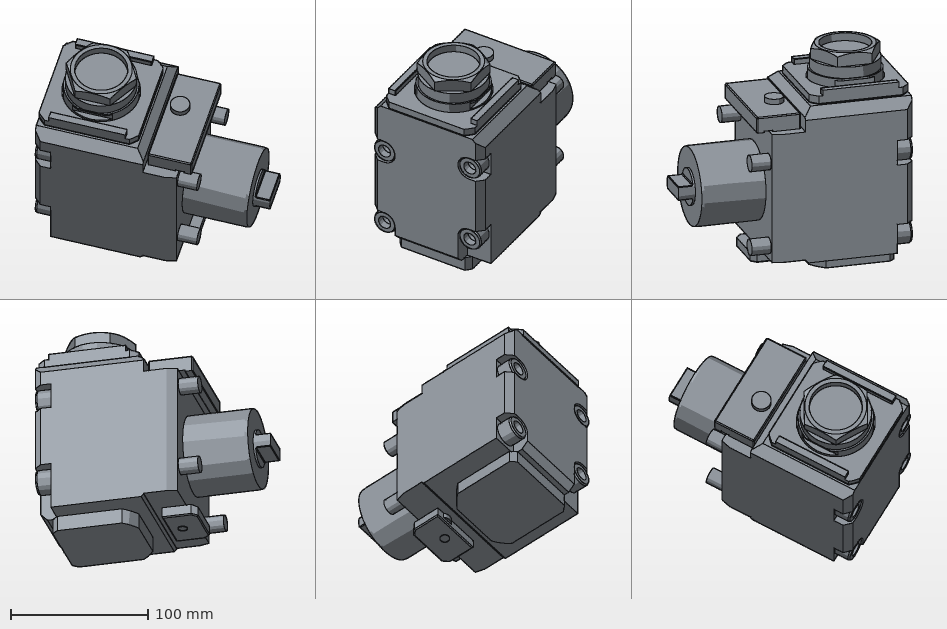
import cadquery as cq
import math


BLOCK_LENGTH = 83.1
BLOCK_WIDTH = 94.0
BLOCK_HEIGHT = 118.7
TOP_BEVEL_SIDE = 7.8
TOP_BEVEL_FRONT = 6.1
REAR_BEVEL = 5.3
FRONT_BOTTOM_BEVEL = 1.9

PLATE_END = 108.1
PLATE_BOTTOM = 2.4
PLATE_TOP = 101.8
PLATE_TAPER_LENGTH = 7.6
PLATE_TAPER_DEPTH = 2.0

SPINDLE_X = 38.0
BORE_RADIUS = 28.7
NECK_RADIUS = 27.5
COLLAR_RADIUS = 26.2
NUT_ACROSS_FLATS = 46.0
NECK_LEDGE_ACROSS_FLATS = 51.0
NUT_CROWN_RADIUS = 22.6
NUT_CROWN_ANGLE = 30
NUT_RECESS_RADIUS = 19.4
NUT_RECESS_DEPTH = 6.0
NECK_LEDGE_BOTTOM = 130.2
COLLAR_BOTTOM = 131.8
NUT_BOTTOM = 140.5
NUT_TOP = 150.5

SEAT_INSET = 0.5
SEAT_TOP = 119.2
FLANGE_LENGTH = 75.8
FLANGE_WIDTH = 75.6
FLANGE_TOP = 125.1
FLANGE_CORNER_RADIUS = 49.6
RAIL_LENGTH = 58.1
RAIL_WIDTH = 5.8
RAIL_TOP = 129.4
RAIL_BEVEL = 0.5

SPIGOT_START = 9.4
SPIGOT_END = 72.2
SPIGOT_WIDTH = 62.0
SPIGOT_DEPTH = 11.5
SPIGOT_CORNER_RADIUS = 39.5

INPUT_Z = 51.5
INPUT_RADIUS = 30.0
INPUT_END = 157.0
INPUT_RIM_LENGTH = 2.2
INPUT_RIM_DEPTH = 0.3
TANG_DISC_RADIUS = 14.0
TANG_DISC_END = 158.6
TANG_END = 170.0
TANG_THICKNESS = 10.5
TANG_BEVEL = 0.5
TANG_ROOT = 0.7

SCREW_Y = 36.4
SCREW_ROWS = {-1: (26.0, 91.0), 1: (13.0, 78.0)}
POCKET_RADIUS = 9.5
POCKET_DEPTH = 13.1
HEAD_RADIUS = 9.2
HEAD_START = 0.8
HEAD_BEVEL_LENGTH = 1.4
HEAD_BEVEL_DEPTH = 0.7
SOCKET_RADIUS = 5.1
SOCKET_DEPTH = 6.0
SOCKET_TIP_DEPTH = 2.9
SHANK_RADIUS = 6.1
SHANK_END = 122.7

BAR_START = 84.5
BAR_END = 118.0
BAR_WIDTH = 78.0
BAR_TOP = 113.9
BAR_BEVEL = 0.8
BAR_GROOVE_START = 105.7
BAR_GROOVE_END = 112.2
BAR_GROOVE_DEPTH = 1.0
BAR_LIP_BEVEL = 0.5
BUTTON_X = 95.4
BUTTON_Y = 9.0
BUTTON_RADIUS = 7.1
BUTTON_TOP = 118.0
BUTTON_PIN_BOTTOM = -2.0

STOP_START = 90.0
STOP_END = 116.1
STOP_WIDTH = 40.8
STOP_BOTTOM = -5.8
STOP_CORNER = 4.0
STOP_BEVEL = 0.8
PAD_X = 100.1
PAD_RADIUS = 3.5
PAD_BOTTOM = -6.3


def box(x_start, x_end, width, z_start, z_end):
    """Box centred on the XZ plane."""
    return (
        cq.Workplane("XY")
        .box(x_end - x_start, width, z_end - z_start, centered=(False, True, False))
        .translate((x_start, 0, z_start))
    )


def rod_x(x_start, x_end, y, z, radius):
    """Cylinder along X."""
    return cq.Workplane("YZ", origin=(x_start, y, z)).circle(radius).extrude(x_end - x_start)


def rod_z(x, y, z_start, z_end, radius):
    """Cylinder along Z."""
    return cq.Workplane("XY", origin=(x, y, z_start)).circle(radius).extrude(z_end - z_start)


def bevel_wedge(plane, origin, points, length):
    """Triangular prism that removes one edge, centred on its sketch plane."""
    return cq.Workplane(plane, origin=origin).polyline(points).close().extrude(length / 2, both=True)


def make_block():
    block = box(0, BLOCK_LENGTH, BLOCK_WIDTH, 0, BLOCK_HEIGHT)
    block = block.faces("<X").edges("|Z").chamfer(REAR_BEVEL)
    block = block.faces("<X").edges("<Z").chamfer(REAR_BEVEL)
    block = block.faces(">X").edges("<Z").chamfer(FRONT_BOTTOM_BEVEL)
    half_width = BLOCK_WIDTH / 2
    for side in (-1, 1):
        corner = [
            (side * half_width, BLOCK_HEIGHT),
            (side * (half_width - TOP_BEVEL_SIDE), BLOCK_HEIGHT),
            (side * half_width, BLOCK_HEIGHT - TOP_BEVEL_SIDE),
        ]
        block = block.cut(bevel_wedge("YZ", (0, 0, 0), corner, 3 * BLOCK_LENGTH))
    front_corner = [
        (BLOCK_LENGTH, BLOCK_HEIGHT),
        (BLOCK_LENGTH - TOP_BEVEL_FRONT, BLOCK_HEIGHT),
        (BLOCK_LENGTH, BLOCK_HEIGHT - TOP_BEVEL_FRONT),
    ]
    return block.cut(bevel_wedge("XZ", (0, 0, 0), front_corner, 2 * BLOCK_WIDTH))


def make_front_plate():
    half_width = BLOCK_WIDTH / 2
    taper_start = PLATE_END - PLATE_TAPER_LENGTH
    half_end = half_width - PLATE_TAPER_DEPTH
    outline = [
        (BLOCK_LENGTH, -half_width),
        (taper_start, -half_width),
        (PLATE_END, -half_end),
        (PLATE_END, half_end),
        (taper_start, half_width),
        (BLOCK_LENGTH, half_width),
    ]
    return (
        cq.Workplane("XY", origin=(0, 0, PLATE_BOTTOM))
        .polyline(outline)
        .close()
        .extrude(PLATE_TOP - PLATE_BOTTOM)
    )


def make_flange_slab(z_start, z_end, inset):
    """Flange outline with turned corners, shrunk all round by the inset."""
    slab = box(inset, FLANGE_LENGTH - inset, FLANGE_WIDTH - 2 * inset, z_start, z_end)
    return slab.intersect(rod_z(SPINDLE_X, 0, z_start, z_end, FLANGE_CORNER_RADIUS - inset))


def make_rail(side):
    """Rail along one side of the flange, bevelled around its inner face."""
    rail_start = SPINDLE_X - RAIL_LENGTH / 2
    rail = box(rail_start, rail_start + RAIL_LENGTH, RAIL_WIDTH, FLANGE_TOP, RAIL_TOP)
    inner_face = ">Y" if side < 0 else "<Y"
    rail = rail.faces(inner_face).edges("|Z or >Z").chamfer(RAIL_BEVEL)
    return rail.translate((0, side * (FLANGE_WIDTH - RAIL_WIDTH) / 2, 0))


def make_flange():
    flange = make_flange_slab(BLOCK_HEIGHT, SEAT_TOP, SEAT_INSET)
    flange = flange.union(make_flange_slab(SEAT_TOP, FLANGE_TOP, 0))
    for side in (-1, 1):
        flange = flange.union(make_rail(side))
    return flange.cut(rod_z(SPINDLE_X, 0, BLOCK_HEIGHT, FLANGE_TOP, BORE_RADIUS))


def make_spigot():
    spigot = box(SPIGOT_START, SPIGOT_END, SPIGOT_WIDTH, -SPIGOT_DEPTH, 0)
    return spigot.intersect(rod_z(SPINDLE_X, 0, -SPIGOT_DEPTH, 0, SPIGOT_CORNER_RADIUS))


def make_input_boss():
    profile = [
        (PLATE_END, 0),
        (PLATE_END, INPUT_RADIUS),
        (INPUT_END - INPUT_RIM_LENGTH, INPUT_RADIUS),
        (INPUT_END, INPUT_RADIUS - INPUT_RIM_DEPTH),
        (INPUT_END, TANG_DISC_RADIUS),
        (TANG_DISC_END, TANG_DISC_RADIUS),
        (TANG_DISC_END, 0),
    ]
    boss = (
        cq.Workplane("XY", origin=(0, 0, INPUT_Z))
        .polyline(profile)
        .close()
        .revolve(360, (0, 0, 0), (1, 0, 0))
    )
    return boss.union(make_tang())


def make_tang():
    """Flat tang with round sides, bevelled edges and a sloped root."""
    half_tang = TANG_THICKNESS / 2
    upper_edge = [
        (TANG_DISC_END, half_tang + TANG_ROOT),
        (TANG_DISC_END + TANG_ROOT, half_tang),
        (TANG_END - TANG_BEVEL, half_tang),
        (TANG_END, half_tang - TANG_BEVEL),
    ]
    lower_edge = [(x, -z) for x, z in reversed(upper_edge)]
    flat = (
        cq.Workplane("XZ", origin=(0, 0, INPUT_Z))
        .polyline(upper_edge + lower_edge)
        .close()
        .extrude(TANG_DISC_RADIUS, both=True)
    )
    tang = flat.intersect(rod_x(TANG_DISC_END, TANG_END, 0, INPUT_Z, TANG_DISC_RADIUS))
    return tang.edges("|X").chamfer(TANG_BEVEL)


def make_screw_pocket(side, z, open_below):
    """Recess for a screw head, open to the side and, in the lower row, to the underside."""
    pocket = rod_x(0, POCKET_DEPTH, side * SCREW_Y, z, POCKET_RADIUS)
    slot = box(0, POCKET_DEPTH, SCREW_Y, z - POCKET_RADIUS, z + POCKET_RADIUS)
    pocket = pocket.union(slot.translate((0, side * 1.5 * SCREW_Y, 0)))
    if open_below:
        drop_width = POCKET_RADIUS + SCREW_Y
        drop = box(0, POCKET_DEPTH, drop_width, 0, z)
        pocket = pocket.union(drop.translate((0, side * (SCREW_Y - POCKET_RADIUS + drop_width / 2), 0)))
    return pocket


def make_screw_head(side, z):
    """Bevelled screw head with a drilled socket."""
    profile = [
        (HEAD_START + SOCKET_DEPTH + SOCKET_TIP_DEPTH, 0),
        (HEAD_START + SOCKET_DEPTH, SOCKET_RADIUS),
        (HEAD_START, SOCKET_RADIUS),
        (HEAD_START, HEAD_RADIUS - HEAD_BEVEL_DEPTH),
        (HEAD_START + HEAD_BEVEL_LENGTH, HEAD_RADIUS),
        (POCKET_DEPTH, HEAD_RADIUS),
        (POCKET_DEPTH, 0),
    ]
    head = cq.Workplane("XY").polyline(profile).close().revolve(360, (0, 0, 0), (1, 0, 0))
    return head.translate((0, side * SCREW_Y, z))


def make_upper_stop():
    bar = box(BAR_START, BAR_END, BAR_WIDTH, PLATE_TOP, BAR_TOP)
    bar = bar.edges("|Z or >Z").chamfer(BAR_BEVEL)
    groove_top = PLATE_TOP + BAR_GROOVE_DEPTH
    bar = bar.cut(box(BAR_GROOVE_START, BAR_GROOVE_END, 2 * BAR_WIDTH, PLATE_TOP, groove_top))
    bar = bar.faces(">X").edges("<Z").chamfer(BAR_LIP_BEVEL)
    return bar.union(rod_z(BUTTON_X, BUTTON_Y, BAR_TOP, BUTTON_TOP, BUTTON_RADIUS))


def make_lower_stop():
    stop = box(STOP_START, STOP_END, STOP_WIDTH, STOP_BOTTOM, PLATE_BOTTOM)
    stop = stop.faces(">X").edges("|Z").chamfer(STOP_CORNER)
    stop = stop.faces("<Z").edges().chamfer(STOP_BEVEL)
    stop = stop.faces(">X").edges(">Z").chamfer(STOP_BEVEL, STOP_CORNER)
    stop = stop.union(rod_z(PAD_X, 0, PAD_BOTTOM, STOP_BOTTOM, PAD_RADIUS))
    return stop.union(rod_z(BUTTON_X, BUTTON_Y, BUTTON_PIN_BOTTOM, PLATE_BOTTOM, BUTTON_RADIUS))


def make_housing():
    housing = make_block().union(make_front_plate()).union(make_flange()).union(make_spigot())
    housing = housing.union(make_input_boss()).union(make_upper_stop()).union(make_lower_stop())
    for side, heights in SCREW_ROWS.items():
        lowest = min(heights)
        for z in heights:
            housing = housing.cut(make_screw_pocket(side, z, open_below=z == lowest))
            housing = housing.union(make_screw_head(side, z))
            housing = housing.union(rod_x(PLATE_END, SHANK_END, side * SCREW_Y, z, SHANK_RADIUS))
    return housing


def make_neck_section(z_start, z_end, across_flats):
    """Round neck with two flats facing -Y and +Y."""
    neck = rod_z(SPINDLE_X, 0, z_start, z_end, NECK_RADIUS)
    return neck.intersect(box(0, 2 * SPINDLE_X, across_flats, z_start, z_end))


def make_nut():
    """Hexagon with corners on the X axis, a conical crown and a round recess."""
    corner_radius = NUT_ACROSS_FLATS / math.sqrt(3)
    nut = (
        cq.Workplane("XY", origin=(SPINDLE_X, 0, NUT_BOTTOM))
        .polygon(6, 2 * corner_radius)
        .extrude(NUT_TOP - NUT_BOTTOM)
    )
    crown_drop = (corner_radius - NUT_CROWN_RADIUS) * math.tan(math.radians(NUT_CROWN_ANGLE))
    crown_profile = [
        (0, NUT_BOTTOM),
        (corner_radius, NUT_BOTTOM),
        (corner_radius, NUT_TOP - crown_drop),
        (NUT_CROWN_RADIUS, NUT_TOP),
        (0, NUT_TOP),
    ]
    crown = (
        cq.Workplane("XZ", origin=(SPINDLE_X, 0, 0))
        .polyline(crown_profile)
        .close()
        .revolve(360, (0, 0, 0), (0, 1, 0))
    )
    recess = rod_z(SPINDLE_X, 0, NUT_TOP - NUT_RECESS_DEPTH, NUT_TOP, NUT_RECESS_RADIUS)
    return nut.intersect(crown).cut(recess)


def make_spindle():
    spindle = rod_z(SPINDLE_X, 0, BLOCK_HEIGHT, FLANGE_TOP, NECK_RADIUS)
    spindle = spindle.union(make_neck_section(FLANGE_TOP, NECK_LEDGE_BOTTOM, NUT_ACROSS_FLATS))
    spindle = spindle.union(make_neck_section(NECK_LEDGE_BOTTOM, COLLAR_BOTTOM, NECK_LEDGE_ACROSS_FLATS))
    spindle = spindle.union(rod_z(SPINDLE_X, 0, COLLAR_BOTTOM, NUT_BOTTOM, COLLAR_RADIUS))
    return spindle.union(make_nut())


housing = make_housing()
spindle = make_spindle()
result = cq.Compound.makeCompound([housing.val(), spindle.val()])